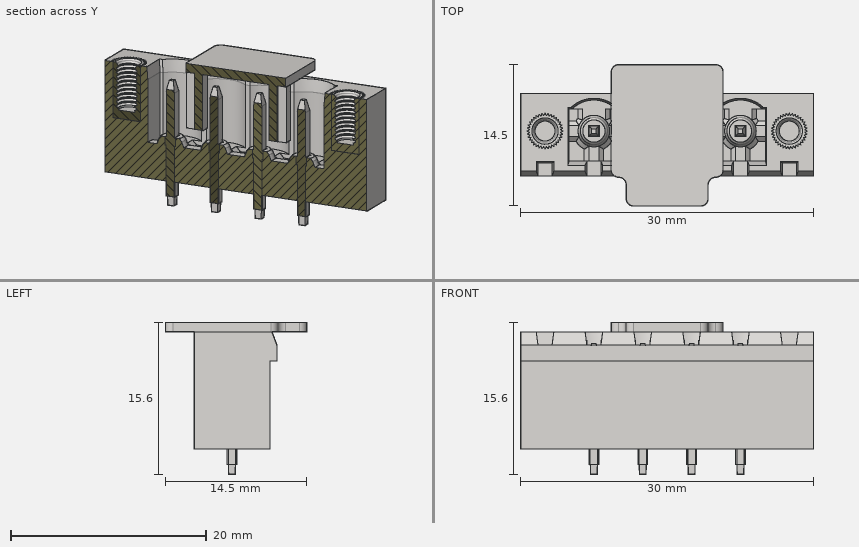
import cadquery as cq
import math


LENGTH = 30.0
HEIGHT = 12.0
BACK_Y = 3.87
FRONT_Y = -3.9
LIP_Y = -4.62
LIP_BOTTOM_Z = 9.0
BEVEL_DEPTH = 1.35
BEVEL_TOP_Y = -4.1
BEVEL_Z = HEIGHT - BEVEL_DEPTH

PITCH = LENGTH / 6
POLE_COUNT = 4
POLE_X = [(i - (POLE_COUNT - 1) / 2) * PITCH for i in range(POLE_COUNT)]
INSERT_X = [POLE_X[0] - PITCH, POLE_X[-1] + PITCH]

CAVITY_HALF_X = 10.05
CAVITY_BACK_Y = 2.28
CAVITY_FRONT_Y = -3.05
MOUTH_HALF_X = 10.17
MOUTH_BACK_Y = 2.43
MOUTH_FRONT_Y = -3.5
LOBE_R = 3.18
LOBE_MOUTH_R = 3.35

RIB_TOP_Z = 3.9
FLANK = 0.48
FLOOR_Z = RIB_TOP_Z - FLANK
SIDE_ARM_HALF = 0.57
REAR_ARM_HALF = 1.17
FRONT_ARM_HALF = 0.5
COLLAR_R = 1.62
COLLAR_SHOULDER_R = 1.38
COLLAR_TOP_R = 1.15
COLLAR_SHOULDER_Z = 4.5
COLLAR_TOP_Z = 4.8

NOTCH_TOP_WIDTH = 1.8
NOTCH_FLOOR_WIDTH = 1.45
NOTCH_BACK_TOP_Y = -3.1
NOTCH_BACK_FLOOR_Y = -3.27

TAIL_WIDTH = 1.02
TAIL_CHAMFER = 0.135
TAIL_TIP_WIDTH = 0.7
TAIL_END_Z = -2.58
TAIL_TAPER = 1.0
ROOT_WIDTH = 1.15
BLADE_WIDTH = 1.0
BLADE_TIP_WIDTH = 0.45
BLADE_TOP_Z = 10.8
BLADE_TAPER = 1.2

KNURL_R = 1.83
KNURL_ROOT_R = 1.6
KNURL_TEETH = 36
INSERT_DEPTH = 6.0
THREAD_MINOR_R = 1.02
THREAD_MAJOR_R = 1.25
THREAD_PITCH = 0.45
THREAD_CREST = 0.1
THREAD_TURNS = 10
THREAD_MOUTH_R = 1.35
THREAD_RELIEF_R = 1.17
HOLE_DEPTH = 5.1

PLATE_THICK = 1.0
PLATE_HALF_X = 5.73
PLATE_BACK_Y = 6.8
TAB_HALF_X = 4.2
TAB_FRONT_Y = -7.68
SHOULDER_Y = -4.75
PLATE_R = (PLATE_HALF_X - TAB_HALF_X) / 2
LEG_THICK = 0.95
LEG_OUTER_X = 5.7
LEG_BACK_Y = 0.65
LEG_FRONT_Y = -2.7
LEG_BOTTOM_Z = 6.0


def box(x0, x1, y0, y1, z0, z1):
    """Box between two opposite corners."""
    return cq.Workplane("XY").box(x1 - x0, y1 - y0, z1 - z0, centered=False).translate((x0, y0, z0))


def frustum(low, high, z_low, z_high):
    """Solid between two rectangles, each given as (x0, x1, y0, y1)."""
    wires = []
    for (x0, x1, y0, y1), z in ((low, z_low), (high, z_high)):
        corners = [cq.Vector(x0, y0, z), cq.Vector(x1, y0, z), cq.Vector(x1, y1, z), cq.Vector(x0, y1, z)]
        wires.append(cq.Wire.makePolygon(corners, close=True))
    return cq.Workplane(cq.Solid.makeLoft(wires, True))


def square(x, width):
    """Square of the given width centred on a contact axis, as (x0, x1, y0, y1)."""
    return (x - width / 2, x + width / 2, -width / 2, width / 2)


def cone(x, r_low, r_high, z_low, z_high):
    """Cone on a vertical axis at (x, 0)."""
    return cq.Workplane(cq.Solid.makeCone(r_low, r_high, z_high - z_low, cq.Vector(x, 0, z_low)))


def cylinder(x, radius, z_low, z_high):
    """Cylinder on a vertical axis at (x, 0)."""
    return cq.Workplane("XY", origin=(x, 0, z_low)).circle(radius).extrude(z_high - z_low)


def sloped_rib(x0, x1, y0, y1, flank_x, flank_y):
    """Floor rib with the given top; flanks widen its foot along X and Y."""
    foot = (x0 - flank_x, x1 + flank_x, y0 - flank_y, y1 + flank_y)
    return frustum(foot, (x0, x1, y0, y1), FLOOR_Z, RIB_TOP_Z)



def housing_block():
    outline = [
        (BACK_Y, 0),
        (FRONT_Y, 0),
        (FRONT_Y, LIP_BOTTOM_Z),
        (LIP_Y, LIP_BOTTOM_Z),
        (LIP_Y, BEVEL_Z),
        (BEVEL_TOP_Y, HEIGHT),
        (BACK_Y, HEIGHT),
    ]
    return cq.Workplane("YZ").polyline(outline).close().extrude(LENGTH / 2, both=True)


def cavity():
    inner = (-CAVITY_HALF_X, CAVITY_HALF_X, CAVITY_FRONT_Y, CAVITY_BACK_Y)
    mouth = (-MOUTH_HALF_X, MOUTH_HALF_X, MOUTH_FRONT_Y, MOUTH_BACK_Y)
    space = box(*inner, FLOOR_Z, BEVEL_Z).union(frustum(inner, mouth, BEVEL_Z, HEIGHT))
    lobe_limit = box(-CAVITY_HALF_X, CAVITY_HALF_X, 0, BACK_Y, RIB_TOP_Z, HEIGHT)
    for x in POLE_X:
        lobe = cylinder(x, LOBE_R, RIB_TOP_Z, BEVEL_Z).union(cone(x, LOBE_R, LOBE_MOUTH_R, BEVEL_Z, HEIGHT))
        space = space.union(lobe.intersect(lobe_limit))
    return space


def floor_ribs():
    ribs = sloped_rib(-CAVITY_HALF_X, CAVITY_HALF_X, -SIDE_ARM_HALF, SIDE_ARM_HALF, 0, FLANK)
    for x in POLE_X:
        ribs = ribs.union(sloped_rib(x - REAR_ARM_HALF, x + REAR_ARM_HALF, 0, CAVITY_BACK_Y, FLANK, 0))
        ribs = ribs.union(sloped_rib(x - FRONT_ARM_HALF, x + FRONT_ARM_HALF, CAVITY_FRONT_Y, 0, FLANK, 0))
        ribs = ribs.union(cone(x, COLLAR_R + FLANK, COLLAR_R, FLOOR_Z, RIB_TOP_Z))
        ribs = ribs.union(cone(x, COLLAR_R, COLLAR_SHOULDER_R, RIB_TOP_Z, COLLAR_SHOULDER_Z))
        ribs = ribs.union(cone(x, COLLAR_SHOULDER_R, COLLAR_TOP_R, COLLAR_SHOULDER_Z, COLLAR_TOP_Z))
    return ribs


def lip_notch(x):
    floor = (x - NOTCH_FLOOR_WIDTH / 2, x + NOTCH_FLOOR_WIDTH / 2, LIP_Y, NOTCH_BACK_FLOOR_Y)
    top = (x - NOTCH_TOP_WIDTH / 2, x + NOTCH_TOP_WIDTH / 2, LIP_Y, NOTCH_BACK_TOP_Y)
    return frustum(floor, top, BEVEL_Z, HEIGHT)


def make_housing():
    body = housing_block().cut(cavity()).union(floor_ribs())
    for x in POLE_X + INSERT_X:
        body = body.cut(lip_notch(x))
    for x in POLE_X:
        half = NOTCH_FLOOR_WIDTH / 2
        body = body.cut(box(x - half, x + half, NOTCH_BACK_FLOOR_Y, CAVITY_FRONT_Y, BEVEL_Z, HEIGHT))
        body = body.cut(make_pin(x))
    for x in INSERT_X:
        body = body.cut(insert_blank(x))
    return body



def make_pin(x):
    taper_z = TAIL_END_Z + TAIL_TAPER
    tail = box(*square(x, TAIL_WIDTH), taper_z, RIB_TOP_Z).edges("|Z").chamfer(TAIL_CHAMFER)
    tail_flat = TAIL_WIDTH - 2 * TAIL_CHAMFER
    tail_tip = frustum(square(x, TAIL_TIP_WIDTH), square(x, tail_flat), TAIL_END_Z, taper_z)
    root = box(*square(x, ROOT_WIDTH), RIB_TOP_Z, COLLAR_TOP_Z)
    blade = box(*square(x, BLADE_WIDTH), COLLAR_TOP_Z, BLADE_TOP_Z - BLADE_TAPER)
    blade_tip = frustum(
        square(x, BLADE_WIDTH), square(x, BLADE_TIP_WIDTH), BLADE_TOP_Z - BLADE_TAPER, BLADE_TOP_Z
    )
    return tail.union(tail_tip).union(root).union(blade).union(blade_tip)



def insert_blank(x):
    points = []
    for i in range(2 * KNURL_TEETH):
        radius = KNURL_R if i % 2 == 0 else KNURL_ROOT_R
        angle = math.pi * i / KNURL_TEETH
        points.append((radius * math.cos(angle), radius * math.sin(angle)))
    plane = cq.Workplane("XY", origin=(x, 0, HEIGHT - INSERT_DEPTH))
    return plane.polyline(points).close().extrude(INSERT_DEPTH)


def threaded_hole(x):
    """Blind hole with one V-shaped ring groove per thread turn and a countersunk mouth."""
    mouth_z = HEIGHT - (THREAD_MOUTH_R - THREAD_RELIEF_R)
    thread_top = mouth_z - THREAD_PITCH / 2
    profile = [
        (0, HEIGHT),
        (THREAD_MOUTH_R, HEIGHT),
        (THREAD_RELIEF_R, mouth_z),
        (THREAD_MINOR_R, thread_top),
    ]
    for turn in range(THREAD_TURNS):
        z = thread_top - turn * THREAD_PITCH
        profile.append((THREAD_MINOR_R, z - THREAD_CREST))
        profile.append((THREAD_MAJOR_R, z - (THREAD_PITCH + THREAD_CREST) / 2))
        profile.append((THREAD_MINOR_R, z - THREAD_PITCH))
    profile.append((THREAD_MINOR_R, HEIGHT - HOLE_DEPTH))
    profile.append((0, HEIGHT - HOLE_DEPTH))
    hole = cq.Workplane("XZ").polyline(profile).close().revolve(360, (0, 0), (0, 1))
    return hole.translate((x, 0, 0))


def make_insert(x):
    return insert_blank(x).cut(threaded_hole(x))



def plate_half():
    """Right half of the plate; the shoulder is an S of two equal arcs."""
    r = PLATE_R
    diagonal = r * math.sqrt(0.5)
    return (
        cq.Workplane("XY", origin=(0, 0, HEIGHT))
        .moveTo(0, PLATE_BACK_Y)
        .lineTo(PLATE_HALF_X - r, PLATE_BACK_Y)
        .radiusArc((PLATE_HALF_X, PLATE_BACK_Y - r), r)
        .lineTo(PLATE_HALF_X, SHOULDER_Y + r)
        .threePointArc(
            (PLATE_HALF_X - r + diagonal, SHOULDER_Y + r - diagonal), (PLATE_HALF_X - r, SHOULDER_Y)
        )
        .threePointArc(
            (TAB_HALF_X + r - diagonal, SHOULDER_Y - r + diagonal), (TAB_HALF_X, SHOULDER_Y - r)
        )
        .lineTo(TAB_HALF_X, TAB_FRONT_Y + r)
        .radiusArc((TAB_HALF_X - r, TAB_FRONT_Y), r)
        .lineTo(0, TAB_FRONT_Y)
        .close()
        .extrude(PLATE_THICK)
    )


def right_leg():
    inner_x = LEG_OUTER_X - 2 * LEG_THICK
    flange = box(inner_x, LEG_OUTER_X, LEG_BACK_Y - LEG_THICK, LEG_BACK_Y, LEG_BOTTOM_Z, HEIGHT)
    web = box(inner_x, LEG_OUTER_X - LEG_THICK, LEG_FRONT_Y, LEG_BACK_Y, LEG_BOTTOM_Z, HEIGHT)
    return flange.union(web)


def make_plate():
    half = plate_half().union(right_leg())
    return half.union(half.mirror("YZ")).clean()


housing = make_housing()
pins = [make_pin(x) for x in POLE_X]
inserts = [make_insert(x) for x in INSERT_X]
plate = make_plate()

bodies = [housing, *pins, *inserts, plate]
result = cq.Compound.makeCompound([body.solids().val() for body in bodies])